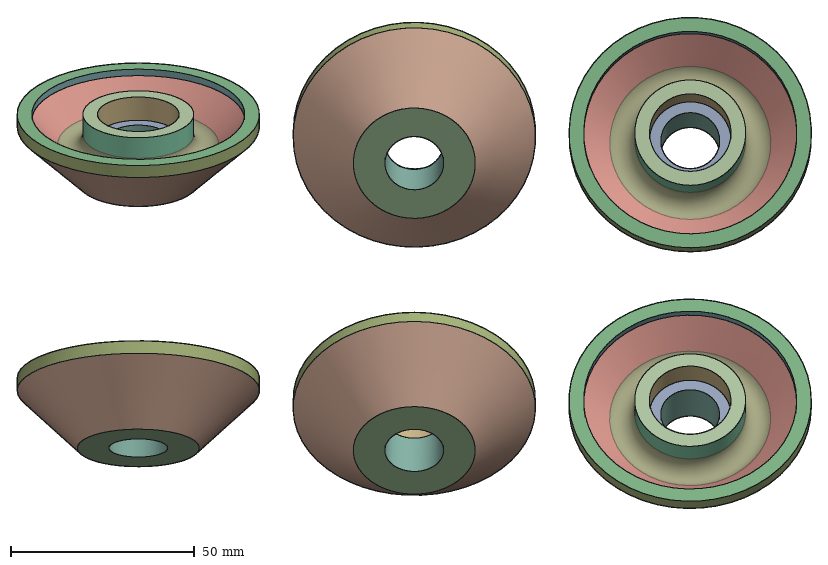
import cadquery as cq
import math

rim_diameter = 66.0
height = 20.0

base_diameter = 33.2
cone_angle = 45.0
wall_thickness = 4.0

dish_diameter = 58.0
groove_radius = 4.0

hub_diameter = 30.2
bore_diameter = 22.2
bore_depth = 7.0
hole_diameter = 16.0

angle = math.radians(cone_angle)
rim_radius = rim_diameter / 2
dish_radius = dish_diameter / 2
hub_radius = hub_diameter / 2
base_radius = base_diameter / 2
cone_top = (rim_radius - base_radius) / math.tan(angle)

inner_cone_base_radius = base_radius - wall_thickness / math.cos(angle)
inner_cone_top = (dish_radius - inner_cone_base_radius) / math.tan(angle)

groove_center_radius = hub_radius + groove_radius
tangent_radius = groove_center_radius + groove_radius * math.cos(angle)
tangent_z = inner_cone_top - (dish_radius - tangent_radius) / math.tan(angle)
groove_center_z = tangent_z + groove_radius * math.sin(angle)


def groove_point(direction):
    """Point on the groove circle, direction in radians from the outward radius."""
    return (
        groove_center_radius + groove_radius * math.cos(direction),
        groove_center_z + groove_radius * math.sin(direction),
    )


def outer_body():
    """Solid cone with a straight rim."""
    profile = (
        cq.Workplane("XZ")
        .moveTo(0, 0)
        .lineTo(base_radius, 0)
        .lineTo(rim_radius, cone_top)
        .lineTo(rim_radius, height)
        .lineTo(0, height)
        .close()
    )
    return profile.revolve(360, (0, 0, 0), (0, 1, 0))


def dish():
    """Ring-shaped hollow between the rim and the hub."""
    profile = (
        cq.Workplane("XZ")
        .moveTo(hub_radius, height)
        .lineTo(dish_radius, height)
        .lineTo(dish_radius, inner_cone_top)
        .lineTo(tangent_radius, tangent_z)
        .threePointArc(groove_point(-math.pi / 2), groove_point(math.pi))
        .close()
    )
    return profile.revolve(360, (0, 0, 0), (0, 1, 0))


def stepped_hole():
    """Bore sunk into the hub top, with a smaller hole right through."""
    bore = (
        cq.Workplane("XY")
        .workplane(offset=height - bore_depth)
        .circle(bore_diameter / 2)
        .extrude(bore_depth)
    )
    hole = cq.Workplane("XY").circle(hole_diameter / 2).extrude(height)
    return bore.union(hole)


result = outer_body().cut(dish()).cut(stepped_hole())